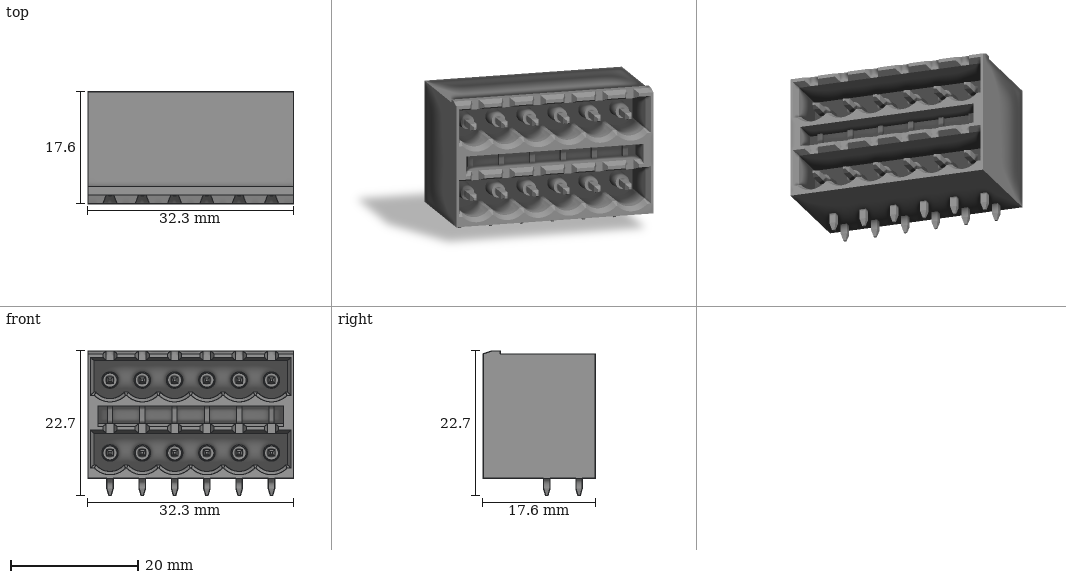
import cadquery as cq

width = 32.3
depth = 17.6
overall_height = 22.7
leg_length = 2.68
ridge_height = 0.45
ridge_depth = 2.7
lead_in_depth = 1.35
housing_height = overall_height - leg_length
body_height = housing_height - ridge_height

contacts_per_row = 6
pitch = 5.07
row_spacing = 11.43
row_tops = [housing_height, housing_height - row_spacing]
contact_x = [(i - (contacts_per_row - 1) / 2) * pitch for i in range(contacts_per_row)]
contact_drop = 4.6

cavity_depth = 8.4
lead_in = 0.52
side_wall = 0.95
cavity_half_width = width / 2 - side_wall
cavity_top_drop = 1.52
cavity_floor_drop = 6.45
scoop_radius = 2.9

notch_back_width = 1.2
notch_front_width = 2.23

recess_end_wall = 1.6
recess_width = width - 2 * recess_end_wall
recess_top_drop = 8.7
recess_depth = 4.52
rib_width = 0.8
rib_depth = 0.65

pin_size = 1.03
pin_tip_size = 0.4
pin_setback = 1.2
pin_taper = 1.1
collar_radius = 1.3
collar_draft = 0.2
collar_height = 2.9
leg_rear_setback = 2.55
leg_y = [depth - leg_rear_setback, depth - leg_rear_setback - pitch]


def ridge_profile(top, bottom):
    """Y-Z outline of a ridge whose front slopes down to the front face."""
    return [
        (0, bottom),
        (0, top - ridge_height),
        (lead_in_depth, top),
        (ridge_depth, top),
        (ridge_depth, bottom),
    ]


def extrude_across(points, length):
    """Extrude a Y-Z outline along X, centred on X = 0."""
    return cq.Workplane("YZ").polyline(points).close().extrude(length / 2, both=True)


def front_plane(y):
    """Workplane facing the front at depth y, with Z as its vertical axis."""
    return cq.Workplane("XZ", origin=(0, y, 0))


def flared_block(x_half, z_low, z_high):
    """Straight block running back from the lead-in, flared out at the front face."""
    middle = (z_low + z_high) / 2
    height = z_high - z_low
    flare = (
        front_plane(lead_in_depth).center(0, middle).rect(2 * x_half, height)
        .workplane(offset=lead_in_depth).rect(2 * (x_half + lead_in), height + 2 * lead_in)
        .loft(combine=True)
    )
    straight = (
        front_plane(lead_in_depth).center(0, middle).rect(2 * x_half, height)
        .extrude(lead_in_depth - cavity_depth)
    )
    return straight.union(flare)


def scoop(x, contact_z, floor_z):
    """Round trough below the cavity floor, concentric with a contact, with a conical lead-in."""
    front_radius = scoop_radius + lead_in
    trough = front_plane(0).center(x, contact_z).circle(scoop_radius).extrude(-cavity_depth)
    cone = cq.Solid.makeCone(
        front_radius, scoop_radius, lead_in_depth,
        pnt=cq.Vector(x, 0, contact_z), dir=cq.Vector(0, 1, 0),
    )
    below_floor = (
        cq.Workplane("XY", origin=(x, cavity_depth / 2, floor_z))
        .rect(2 * front_radius, cavity_depth)
        .extrude(-front_radius)
    )
    return trough.union(cq.Workplane(cone)).intersect(below_floor)


def row_cavity(top):
    """Plug cavity of one row, with a scooped floor below each contact."""
    z_low = top - cavity_floor_drop
    z_high = top - cavity_top_drop
    cavity = flared_block(cavity_half_width, z_low, z_high)
    for x in contact_x:
        cavity = cavity.union(scoop(x, top - contact_drop, z_low))
    return cavity


def notch(x, top):
    """Wedge-shaped opening from the ridge top down into the cavity."""
    front = notch_front_width / 2
    back = notch_back_width / 2
    outline = [(x - front, 0), (x + front, 0), (x + back, lead_in_depth), (x - back, lead_in_depth)]
    bottom = top - cavity_top_drop
    return cq.Workplane("XY", origin=(0, 0, bottom)).polyline(outline).close().extrude(cavity_top_drop)


def row_recess(row_top, lower_top):
    """Recess between two rows; its floor is the sloped ridge of the lower row."""
    top = row_top - recess_top_drop
    outline = [
        (0, top),
        (0, lower_top - ridge_height),
        (lead_in_depth, lower_top),
        (recess_depth, lower_top),
        (recess_depth, top),
    ]
    recess = extrude_across(outline, recess_width)
    for x in contact_x:
        rib = cq.Workplane("XY").box(rib_width, rib_depth, top - lower_top, centered=(True, False, False))
        recess = recess.cut(rib.translate((x, recess_depth - rib_depth, lower_top)))
    return recess


def tapered_pin(plane, length):
    """Square pin along the plane normal, tapering to a smaller square tip."""
    shank = length - pin_taper
    pin = plane.rect(pin_size, pin_size).extrude(shank)
    tip = (
        plane.workplane(offset=shank).rect(pin_size, pin_size)
        .workplane(offset=pin_taper).rect(pin_tip_size, pin_tip_size)
        .loft(combine=True)
    )
    return pin.union(tip)


def contact(x, z):
    """Mating pin with a drafted collar on the back wall of the cavity."""
    pin = tapered_pin(front_plane(cavity_depth).center(x, z), cavity_depth - pin_setback)
    collar = cq.Solid.makeCone(
        collar_radius, collar_radius - collar_draft, collar_height,
        pnt=cq.Vector(x, cavity_depth, z), dir=cq.Vector(0, -1, 0),
    )
    return pin.union(cq.Workplane(collar))


housing = cq.Workplane("XY").box(width, depth, body_height, centered=(True, False, False))
housing = housing.union(extrude_across(ridge_profile(housing_height, 0), width))
housing = housing.cut(row_recess(*row_tops))

for row_top in row_tops:
    housing = housing.cut(row_cavity(row_top))
    for x in contact_x:
        housing = housing.cut(notch(x, row_top))
        housing = housing.union(contact(x, row_top - contact_drop))

for x in contact_x:
    for y in leg_y:
        underside = cq.Workplane("XY", origin=(x, y, 0)).transformed(rotate=(180, 0, 0))
        housing = housing.union(tapered_pin(underside, leg_length))

result = housing